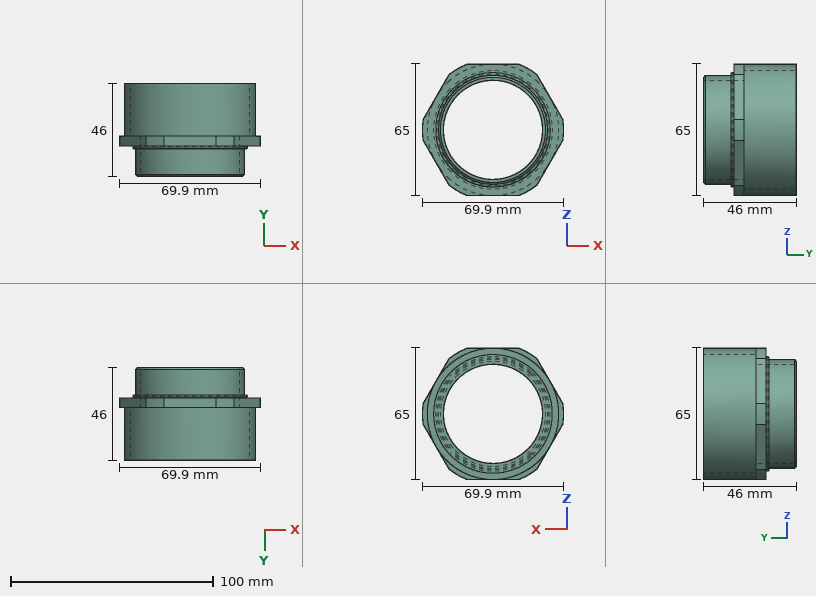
import cadquery as cq

corner_diameter = 69.9
across_flats = 65.0
body_length = 26.1
collar_thickness = 4.9
total_length = 46.0
spigot_diameter = 54.0
spigot_chamfer = 1.0
bore_diameter = 48.95
socket_diameter = 58.7
ring_section_diameter = 1.5
ring_outer_diameter = 56.7

collar_front = -collar_thickness
spigot_length = total_length - body_length - collar_thickness
spigot_tip = collar_front - spigot_length


def cylinder(diameter, y_start, length):
    """Solid cylinder on the Y axis, running from y_start toward +Y."""
    return (
        cq.Workplane("XZ", origin=(0, y_start, 0))
        .circle(diameter / 2)
        .extrude(-length)
    )


def hex_collar():
    """Hexagon with flats facing +Z and -Z, its corners turned to a circle."""
    hexagon = (
        cq.Workplane("XZ", origin=(0, collar_front, 0))
        .polygon(6, across_flats, circumscribed=True)
        .extrude(-collar_thickness)
        .rotate((0, 0, 0), (0, 1, 0), 90)
    )
    return hexagon.intersect(cylinder(corner_diameter, collar_front, collar_thickness))


def sealing_ring():
    """O-ring shaped bead around the spigot, against the collar."""
    section_radius = ring_section_diameter / 2
    path_radius = ring_outer_diameter / 2 - section_radius
    return (
        cq.Workplane("XY")
        .center(path_radius, collar_front - section_radius)
        .circle(section_radius)
        .revolve(360, (-path_radius, 0), (-path_radius, 1))
    )


body = cylinder(across_flats, 0, body_length)
spigot = cylinder(spigot_diameter, spigot_tip, spigot_length).faces("<Y").chamfer(spigot_chamfer)
bore = cylinder(bore_diameter, spigot_tip, total_length)
socket = cylinder(socket_diameter, 0, body_length)

result = body.union(hex_collar()).union(spigot).union(sealing_ring()).cut(bore).cut(socket)